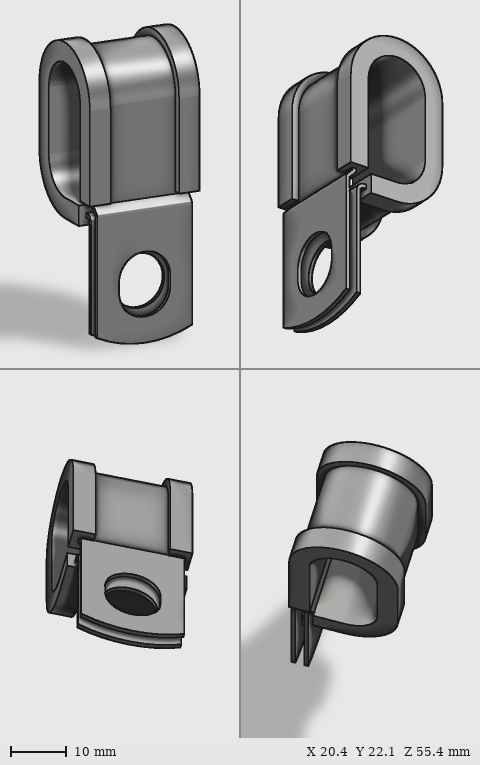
import cadquery as cq
import math

total_height = 55.4
loop_width = 20.45
loop_depth = 22.1

wall = 3.9
straight = 12.7
leg_length = 28.25
lip_end = 5.7
band_depth = 4.15
groove_depth = 1.5

sheet = 0.8
tab_width = 19.1
tab_crown = 2.15
hole_diameter = 10.3
slot_stretch = 2.0
hole_from_tip = 11.1
lower_tab_face = 7.8
lower_bend_radius = 1.6
jog_drop = 0.4
jog_angle = math.radians(45)

outer_radius = loop_width / 2
inner_radius = outer_radius - wall
groove_radius = outer_radius - groove_depth
leg_end = straight + outer_radius - leg_length
tip = straight + outer_radius - total_height


def extrude_centred(outline, depth):
    return outline.close().extrude(depth / 2, both=True)


def make_loop(radius, depth):
    """Build the open loop between the bore and an outer face of the given radius."""
    outline = (
        cq.Workplane("XZ")
        .moveTo(radius, leg_end)
        .lineTo(radius, straight)
        .threePointArc((0, straight + radius), (-radius, straight))
        .lineTo(-radius, 0)
        .radiusArc((0, -radius), -radius)
        .lineTo(lip_end, -radius)
        .lineTo(lip_end, -inner_radius)
        .lineTo(0, -inner_radius)
        .radiusArc((-inner_radius, 0), inner_radius)
        .lineTo(-inner_radius, straight)
        .threePointArc((0, straight + inner_radius), (inner_radius, straight))
        .lineTo(inner_radius, leg_end)
    )
    return extrude_centred(outline, depth)


def make_lower_tab():
    """Build the strip that runs out of the lip and turns down."""
    bend_x = lower_tab_face - lower_bend_radius
    strip_top = sheet - groove_radius
    bend_z = strip_top - lower_bend_radius
    inside_radius = lower_bend_radius - sheet
    outline = (
        cq.Workplane("XZ")
        .moveTo(lip_end - sheet, strip_top)
        .lineTo(bend_x, strip_top)
        .radiusArc((lower_tab_face, bend_z), lower_bend_radius)
        .lineTo(lower_tab_face, tip)
        .lineTo(lower_tab_face - sheet, tip)
        .lineTo(lower_tab_face - sheet, bend_z)
        .radiusArc((bend_x, bend_z + inside_radius), -inside_radius)
        .lineTo(lip_end - sheet, bend_z + inside_radius)
    )
    return extrude_centred(outline, tab_width)


def make_upper_tab():
    """Build the strip that leaves the right leg and jogs out to the loop's outer side."""
    first_x = groove_radius
    first_z = leg_end - jog_drop
    second_x = outer_radius - sheet
    jog_run = second_x - first_x
    second_z = first_z - jog_run / math.tan(jog_angle) - sheet / math.sin(jog_angle)
    across_x = sheet * math.cos(jog_angle)
    across_z = sheet * math.sin(jog_angle)
    outline = (
        cq.Workplane("XZ")
        .moveTo(first_x, leg_end + sheet)
        .lineTo(first_x, first_z)
        .lineTo(second_x + across_x, second_z + across_z)
        .radiusArc((outer_radius, second_z), sheet)
        .lineTo(outer_radius, tip)
        .lineTo(second_x, tip)
        .lineTo(second_x, second_z)
        .lineTo(first_x - across_x, first_z - across_z)
        .radiusArc((first_x - sheet, first_z), sheet)
        .lineTo(first_x - sheet, leg_end + sheet)
    )
    return extrude_centred(outline, tab_width)


def make_tab_face(stretch=0):
    """Build a block shaped like a tab seen along X, with its hole and curved lower end."""
    half_width = tab_width / 2
    block = (
        cq.Workplane("YZ")
        .moveTo(-half_width, straight)
        .lineTo(-half_width, tip + tab_crown)
        .threePointArc((0, tip), (half_width, tip + tab_crown))
        .lineTo(half_width, straight)
        .close()
        .extrude(loop_width)
    )
    hole = cq.Workplane("YZ").center(0, tip + hole_from_tip)
    if stretch > 0:
        hole = hole.slot2D(hole_diameter + stretch, hole_diameter, 90)
    else:
        hole = hole.circle(hole_diameter / 2)
    return block.cut(hole.extrude(loop_width))


loop = make_loop(groove_radius, loop_depth)
groove_width = loop_depth - 2 * band_depth
bands = make_loop(outer_radius, loop_depth).cut(make_loop(outer_radius, groove_width))
lower_tab = make_lower_tab().intersect(make_tab_face())
upper_tab = make_upper_tab().intersect(make_tab_face(slot_stretch))

result = loop.union(bands).union(lower_tab).union(upper_tab)